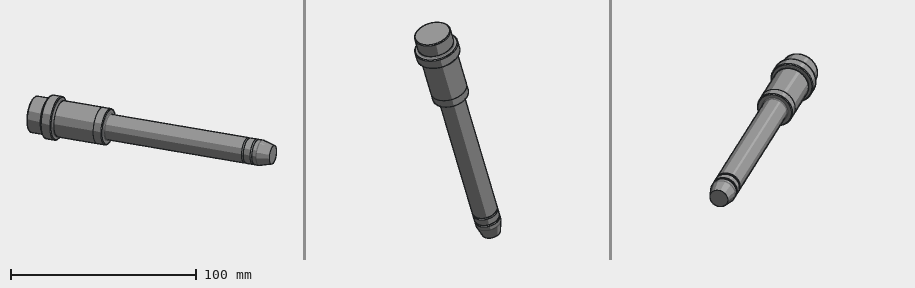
import cadquery as cq
import math

flange_diameter = 24.0
body_diameter = 20.0
pin_diameter = 14.0

flange_start = 9.0
flange_end = 15.0
lead_start = 39.0
body_end = 44.0
groove_centers = (125.0, 130.0)
tip_start = 133.0
total_length = 140.0

edge_chamfer = 0.5
groove_radius = 0.5
lead_clearance = 0.02
pin_root_fillet = 0.5
tip_angle = 15.0

flange_radius = flange_diameter / 2
body_radius = body_diameter / 2
pin_radius = pin_diameter / 2
lead_radius = body_radius - lead_clearance
tip_radius = pin_radius - (total_length - tip_start) * math.tan(math.radians(tip_angle))


def turned_body():
    """Revolve the stepped outline: head, flange, body, pin and tapered tip."""
    outline = (
        cq.Workplane("XZ")
        .moveTo(0, 0)
        .lineTo(0, body_radius - edge_chamfer)
        .lineTo(edge_chamfer, body_radius)
        .lineTo(flange_start, body_radius)
        .lineTo(flange_start, flange_radius - edge_chamfer)
        .lineTo(flange_start + edge_chamfer, flange_radius)
        .lineTo(flange_end - edge_chamfer, flange_radius)
        .lineTo(flange_end, flange_radius - edge_chamfer)
        .lineTo(flange_end, body_radius)
        .lineTo(lead_start, body_radius)
        .lineTo(lead_start, lead_radius)
        .lineTo(body_end - edge_chamfer, lead_radius)
        .lineTo(body_end, lead_radius - edge_chamfer)
        .lineTo(body_end, pin_radius + pin_root_fillet)
        .radiusArc((body_end + pin_root_fillet, pin_radius), -pin_root_fillet)
        .lineTo(tip_start, pin_radius)
        .lineTo(total_length, tip_radius)
        .lineTo(total_length, 0)
        .close()
    )
    return outline.revolve(360, (0, 0, 0), (1, 0, 0))


def round_groove(center, surface_radius):
    """Ring that cuts a half-round groove into a cylinder of the given radius."""
    return (
        cq.Workplane("XZ")
        .center(center, surface_radius)
        .circle(groove_radius)
        .revolve(360, (0, -surface_radius, 0), (1, -surface_radius, 0))
    )


result = turned_body()

for relief_center in (flange_start - groove_radius, flange_end + groove_radius):
    result = result.cut(round_groove(relief_center, body_radius))

for groove_center in groove_centers:
    result = result.cut(round_groove(groove_center, pin_radius))